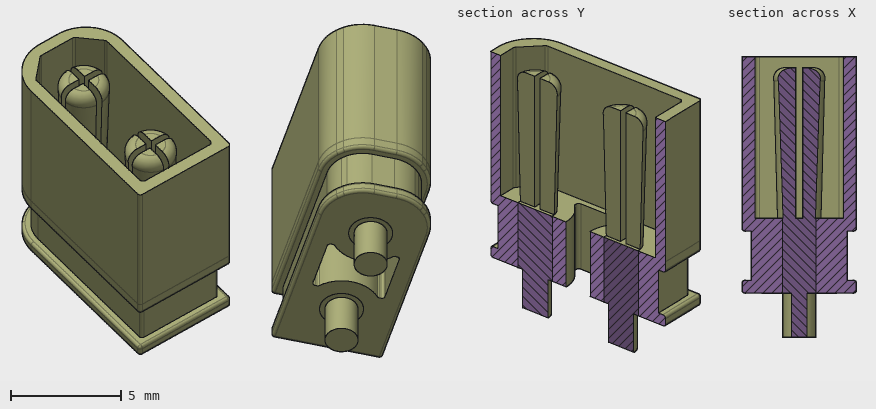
import cadquery as cq
import math

LENGTH = 10.2
WIDTH = 5.2
HEIGHT = 12.7
LEG_LENGTH = 2.0
FLANGE_THICKNESS = 0.6
WALL = 0.6
SHELL_BOTTOM = 4.8
FLOOR_TOP = SHELL_BOTTOM + WALL
FLANGE_TOP = LEG_LENGTH + FLANGE_THICKNESS

END_RADIUS = 2.07
END_FLAT_HALF_ANGLE = 5.0
NECK_INSET = 0.41
SMALL_RADIUS = 0.15
CAVITY_CHAMFER = 1.04
CAVITY_RADIUS = 0.19

WINDOW_LENGTH = 2.73
WINDOW_WIDTH = 3.38
BOSS_RADIUS = 1.8

PIN_SPACING = 5.0
LEG_DIAMETER = 1.5
SHAFT_DIAMETER = 2.0
BARREL_TOP_DIAMETER = 2.32
HEAD_DIAMETER = 2.35
HEAD_ROUND = 0.5
HEAD_TOP = 12.2
SLOT_WIDTH = 0.3
PIN_POSITIONS = [(-PIN_SPACING / 2, 0), (PIN_SPACING / 2, 0)]


def outline_block(inset, bottom, top):
    """Block of the housing outline, moved inward by inset.

    The two -X corners are large rounds, each with a narrow 45 degree flat in its middle.
    The two +X corners are small rounds.
    """
    left = -LENGTH / 2 + inset
    right = LENGTH / 2 - inset
    side = WIDTH / 2 - inset
    radius = END_RADIUS - inset
    center_x = left + radius
    center_y = side - radius

    def on_corner(angle, y_sign):
        a = math.radians(angle)
        return (center_x - radius * math.cos(a), y_sign * (center_y + radius * math.sin(a)))

    flat_start = 45 - END_FLAT_HALF_ANGLE
    flat_end = 45 + END_FLAT_HALF_ANGLE
    block = (
        cq.Workplane("XY", origin=(0, 0, bottom))
        .moveTo(*on_corner(0, -1))
        .lineTo(*on_corner(0, 1))
        .threePointArc(on_corner(flat_start / 2, 1), on_corner(flat_start, 1))
        .lineTo(*on_corner(flat_end, 1))
        .threePointArc(on_corner((flat_end + 90) / 2, 1), on_corner(90, 1))
        .lineTo(right, side)
        .lineTo(right, -side)
        .lineTo(*on_corner(90, -1))
        .threePointArc(on_corner((flat_end + 90) / 2, -1), on_corner(flat_end, -1))
        .lineTo(*on_corner(flat_start, -1))
        .threePointArc(on_corner(flat_start / 2, -1), on_corner(0, -1))
        .close()
        .extrude(top - bottom)
    )
    return block.edges("|Z and >X").fillet(SMALL_RADIUS)


def make_cavity():
    """Plug pocket, open at the top, with two chamfered corners at -X."""
    pocket = cq.Workplane("XY", origin=(0, 0, FLOOR_TOP)).rect(LENGTH - 2 * WALL, WIDTH - 2 * WALL)
    pocket = pocket.extrude(HEIGHT - FLOOR_TOP)
    pocket = pocket.edges("|Z and <X").chamfer(CAVITY_CHAMFER)
    return pocket.edges("|Z").fillet(CAVITY_RADIUS)


def make_window():
    """Waisted opening between the two pin bosses, from the cavity floor to the bottom face."""
    depth = FLOOR_TOP - LEG_LENGTH
    base = cq.Workplane("XY", origin=(0, 0, LEG_LENGTH))
    window = base.rect(WINDOW_LENGTH, WINDOW_WIDTH).extrude(depth)
    bosses = base.pushPoints(PIN_POSITIONS).circle(BOSS_RADIUS).extrude(depth)
    return window.cut(bosses).edges("|Z").fillet(SMALL_RADIUS)


def make_housing():
    flange = outline_block(0, LEG_LENGTH, FLANGE_TOP).faces("<Z or >Z").edges().fillet(SMALL_RADIUS)
    neck = outline_block(NECK_INSET, FLANGE_TOP, SHELL_BOTTOM)
    base_plate = outline_block(0, SHELL_BOTTOM, FLOOR_TOP).faces("<Z").edges().fillet(SMALL_RADIUS)
    shell = outline_block(0, FLOOR_TOP, HEIGHT)
    pin_holes = (
        cq.Workplane("XY", origin=(0, 0, LEG_LENGTH))
        .pushPoints(PIN_POSITIONS)
        .circle(SHAFT_DIAMETER / 2)
        .extrude(FLOOR_TOP - LEG_LENGTH)
    )
    body = flange.union(neck, clean=False).union(base_plate, clean=False).union(shell, clean=False)
    for opening in (make_cavity(), make_window(), pin_holes):
        body = body.cut(opening, clean=False)
    return body


def make_pin(position):
    """Contact pin with a leg, a shaft inside the housing, and a barrel that widens up to a bulb head.

    Two crossed slots split the head and barrel down to the cavity floor.
    """
    leg_radius = LEG_DIAMETER / 2
    shaft_radius = SHAFT_DIAMETER / 2
    barrel_top_radius = BARREL_TOP_DIAMETER / 2
    head_radius = HEAD_DIAMETER / 2
    crown_radius = head_radius - HEAD_ROUND
    round_center = HEAD_TOP - HEAD_ROUND
    head_drop = math.sqrt(HEAD_ROUND**2 - (barrel_top_radius - crown_radius) ** 2)
    pin = (
        cq.Workplane("XZ")
        .moveTo(0, 0)
        .lineTo(leg_radius, 0)
        .lineTo(leg_radius, LEG_LENGTH)
        .lineTo(shaft_radius, LEG_LENGTH)
        .lineTo(shaft_radius, FLOOR_TOP)
        .lineTo(barrel_top_radius, round_center - head_drop)
        .threePointArc((head_radius, round_center), (crown_radius, HEAD_TOP))
        .lineTo(0, HEAD_TOP)
        .close()
        .revolve(360, (0, 0, 0), (0, 1, 0))
    )
    slot_base = cq.Workplane("XY", origin=(0, 0, FLOOR_TOP))
    for slot_x, slot_y in ((HEAD_DIAMETER, SLOT_WIDTH), (SLOT_WIDTH, HEAD_DIAMETER)):
        pin = pin.cut(slot_base.rect(slot_x, slot_y).extrude(HEAD_TOP - FLOOR_TOP))
    return pin.translate((*position, 0))


housing = make_housing()
pins = [make_pin(position) for position in PIN_POSITIONS]

result = cq.Compound.makeCompound([housing.solids().val(), *[pin.solids().val() for pin in pins]])